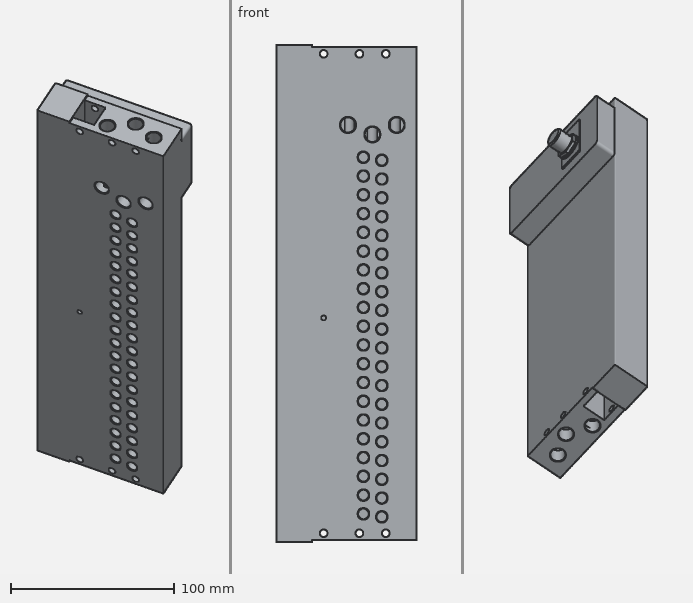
import cadquery as cq

total_width = 86.0
total_depth = 53.7
total_length = 305.0
block_depth = 25.5

rail_width = 22.0
rail_edge_radius = 0.45
end_step = 1.2

channel_right = 36.3
channel_front = 5.2
channel_back = 21.5
channel_corner_radius = 0.5

mount_diameter = 4.5
mount_inset = 5.5
mount_xs = (29.0, 51.0, 67.0)

vent_diameter = 3.0
vent_z = 137.5

bore_diameter = 6.0
port_diameter = 9.0
end_port_depth = 12.2
middle_port_x = 59.0
port_pitch = 15.0
bore_pitch = 14.0
outer_port_z = 256.0
middle_port_z = 250.0
bores = (
    (-1, 8.2, outer_port_z),
    (0, 17.0, middle_port_z),
    (1, 11.5, outer_port_z),
)

outlet_diameter = 6.5
outlet_depth = 7.5
outlet_count = 20
outlet_top_z = 236.0
outlet_column_length = 218.7
outlet_pitch = outlet_column_length / (outlet_count - 1)
outlet_stagger = 1.8
left_outlet_x = 53.5
right_outlet_x = 64.7

mouth_chamfer = 0.45

housing_bottom = 240.3
housing_top = 294.5
housing_back = 39.5
housing_corner_radius = 2.0

connector_x = 25.5
connector_z = 264.7
plate_width = 17.0
plate_right = 33.5
plate_bottom = 250.7
plate_top = 285.8
plate_back = 40.5
collar_diameter = 16.5
collar_back = 41.8
hexagon_corners = 16.2
hexagon_back = 44.0
barrel_diameter = 12.2
barrel_chamfer = 1.0


def box(x_range, y_range, z_range):
    """Box spanning the given ranges."""
    sides = [high - low for low, high in (x_range, y_range, z_range)]
    corner = (x_range[0], y_range[0], z_range[0])
    return cq.Workplane("XY").box(*sides, centered=False).translate(corner)


def plane_at_depth(depth):
    """Sketch plane facing the back (+Y); its local axes are the part's -X and Z."""
    return cq.Workplane(cq.Plane(origin=(0, depth, 0), xDir=(-1, 0, 0), normal=(0, 1, 0)))


def cylinder_back(x, z, diameter, y_start, y_end):
    """Cylinder along Y."""
    return plane_at_depth(y_start).center(-x, z).circle(diameter / 2).extrude(y_end - y_start)


def cylinder_up(x, y, diameter, z_start, z_end):
    """Cylinder along Z."""
    base = cq.Workplane("XY", origin=(x, y, z_start))
    return base.circle(diameter / 2).extrude(z_end - z_start)


def make_block():
    rail = box((0, rail_width), (0, block_depth), (0, total_length))
    rail = rail.edges("|Z and <X").fillet(rail_edge_radius)
    body = box((rail_width, total_width), (0, block_depth), (end_step, total_length - end_step))
    return rail.union(body)


def make_channel():
    channel = box((rail_width, channel_right), (channel_front, channel_back), (0, total_length))
    return channel.edges("|Z and >X and >Y").fillet(channel_corner_radius)


def cut_mounting_holes(part):
    for x in mount_xs:
        for z in (mount_inset, total_length - mount_inset):
            part = part.cut(cylinder_back(x, z, mount_diameter, 0, block_depth))
    return part


def mouth(opening, inward, diameter):
    """Cone that countersinks a hole opening at the given point."""
    mouth_radius = diameter / 2 + mouth_chamfer
    return cq.Workplane(
        cq.Solid.makeCone(
            mouth_radius,
            diameter / 2,
            mouth_chamfer,
            cq.Vector(*opening),
            cq.Vector(*inward),
        )
    )


def front_hole(x, z, diameter, depth):
    """Hole from the front face with a countersunk mouth."""
    hole = cylinder_back(x, z, diameter, 0, depth)
    return hole.union(mouth((x, 0, z), (0, 1, 0), diameter))


def end_port(x, y, end_z, inward):
    """Port in the end face at end_z; inward is the direction along Z into the block."""
    floor_z = end_z + inward * end_port_depth
    port = cylinder_up(x, y, port_diameter, min(end_z, floor_z), max(end_z, floor_z))
    return port.union(mouth((x, y, end_z), (0, 0, inward), port_diameter))


def cut_bores(part):
    for side, depth, front_port_z in bores:
        port_x = middle_port_x + side * port_pitch
        bore_x = middle_port_x + side * bore_pitch
        part = part.cut(cylinder_up(bore_x, depth, bore_diameter, 0, total_length))
        part = part.cut(end_port(port_x, depth, end_step, 1))
        part = part.cut(end_port(port_x, depth, total_length - end_step, -1))
        part = part.cut(front_hole(port_x, front_port_z, port_diameter, depth))
    return part


def cut_outlets(part):
    for x, top_z in ((left_outlet_x, outlet_top_z), (right_outlet_x, outlet_top_z - outlet_stagger)):
        for index in range(outlet_count):
            z = top_z - index * outlet_pitch
            part = part.cut(front_hole(x, z, outlet_diameter, outlet_depth))
    return part


def make_housing():
    housing = box((0, total_width), (block_depth, housing_back), (housing_bottom, housing_top))
    return housing.edges("|Y").fillet(housing_corner_radius)


def make_connector():
    plate_left = plate_right - plate_width
    plate = box(
        (plate_left, plate_right),
        (housing_back, plate_back),
        (plate_bottom, plate_top),
    )
    collar = cylinder_back(connector_x, connector_z, collar_diameter, housing_back, collar_back)
    hexagon = (
        plane_at_depth(collar_back)
        .center(-connector_x, connector_z)
        .transformed(rotate=(0, 0, 90))
        .polygon(6, hexagon_corners)
        .extrude(hexagon_back - collar_back)
    )
    barrel = cylinder_back(connector_x, connector_z, barrel_diameter, hexagon_back, total_depth)
    barrel = barrel.faces(">Y").chamfer(barrel_chamfer)
    return plate.union(collar).union(hexagon).union(barrel)


result = make_block().cut(make_channel())
result = cut_mounting_holes(result)
result = result.cut(cylinder_back(mount_xs[0], vent_z, vent_diameter, 0, channel_front))
result = cut_bores(result)
result = cut_outlets(result)
result = result.union(make_housing()).union(make_connector())